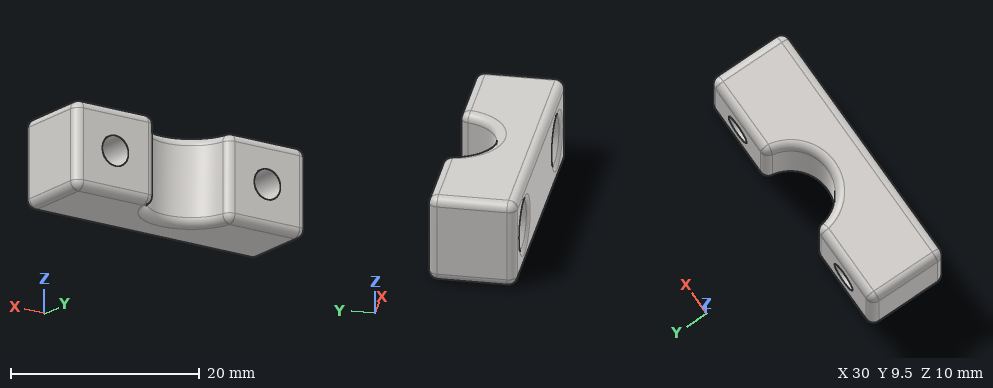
import cadquery as cq

length = 30.0
depth = 9.5
height = 10.0
edge_radius = 1.0

saddle_radius = 4.7

hole_spacing = 19.7
hole_diameter = 3.4
countersink_diameter = 5.85
countersink_angle = 90

front_y = -depth / 2
back_y = depth / 2


def rounded_block():
    """Block with the saddle cut across its back, rounded on every edge."""
    block = cq.Workplane("XY").box(length, depth, height)
    saddle = (
        cq.Workplane("XY")
        .center(0, back_y)
        .circle(saddle_radius)
        .extrude(height, both=True)
    )
    return block.cut(saddle).edges().fillet(edge_radius)


def add_screw_holes(body):
    """Countersunk through holes with rounded countersink rims and throats."""
    drilled = (
        body.faces("<Y")
        .workplane(origin=(0, front_y, 0))
        .pushPoints([(-hole_spacing / 2, 0), (hole_spacing / 2, 0)])
        .cskHole(hole_diameter, countersink_diameter, countersink_angle)
    )
    return drilled.faces("%CONE").edges("%CIRCLE").fillet(edge_radius)


result = add_screw_holes(rounded_block())